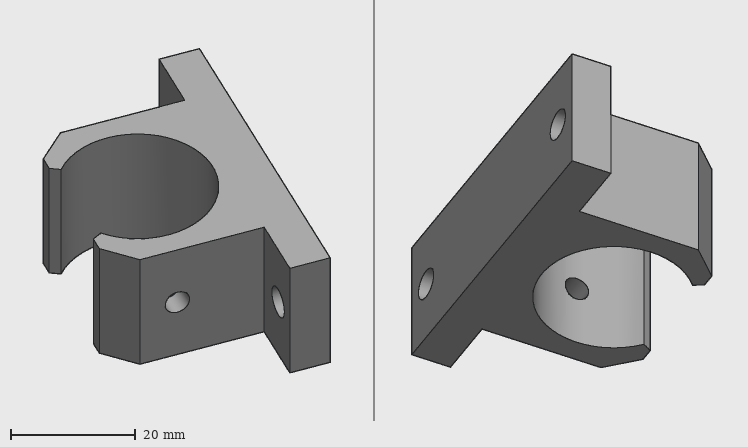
import cadquery as cq
import math


height = 22.0
tip_y = -11.5

plate_width = 56.0
plate_thickness = 7.0
plate_back_y = 22.0
plate_front_y = plate_back_y - plate_thickness
mount_hole_diameter = 5.3
mount_hole_edge_distance = 5.0
mount_hole_x = plate_width / 2 - mount_hole_edge_distance

body_width = 34.0
corner_chamfer = 5.0
bore_diameter = 26.0
bore_radius = bore_diameter / 2

mouth_half_width = 8.5
flare_angle = 30.0
lip_y = -math.sqrt(bore_radius**2 - mouth_half_width**2)
flare_half_width = mouth_half_width + (lip_y - tip_y) * math.tan(math.radians(flare_angle))

cross_hole_diameter = 4.2


def make_plate():
    """Flat mounting plate behind the clip."""
    return (
        cq.Workplane("XY")
        .center(0, (plate_back_y + plate_front_y) / 2)
        .rect(plate_width, plate_thickness)
        .extrude(height)
    )


def make_clip_block():
    """Solid block of the clip, with its two front corners chamfered."""
    body_length = plate_back_y - tip_y
    return (
        cq.Workplane("XY")
        .center(0, (plate_back_y + tip_y) / 2)
        .rect(body_width, body_length)
        .extrude(height)
        .edges("|Z and <Y")
        .chamfer(corner_chamfer)
    )


def make_bore_and_mouth():
    """Cutter for the round seat and the flared mouth that opens it toward -Y."""
    return (
        cq.Workplane("XY")
        .moveTo(-flare_half_width, tip_y)
        .lineTo(-mouth_half_width, lip_y)
        .threePointArc((0, bore_radius), (mouth_half_width, lip_y))
        .lineTo(flare_half_width, tip_y)
        .close()
        .extrude(height)
    )


def make_mount_holes():
    """Cutters for the two screw holes through the plate, along Y."""
    return (
        cq.Workplane("XZ", origin=(0, plate_back_y, height / 2))
        .pushPoints([(-mount_hole_x, 0), (mount_hole_x, 0)])
        .circle(mount_hole_diameter / 2)
        .extrude(plate_thickness)
    )


def make_cross_hole():
    """Cutter from the bore axis out through the +X arm at mid height."""
    return (
        cq.Workplane("YZ", origin=(0, 0, height / 2))
        .circle(cross_hole_diameter / 2)
        .extrude(body_width / 2)
    )


result = (
    make_plate()
    .union(make_clip_block())
    .cut(make_bore_and_mouth())
    .cut(make_mount_holes())
    .cut(make_cross_hole())
)